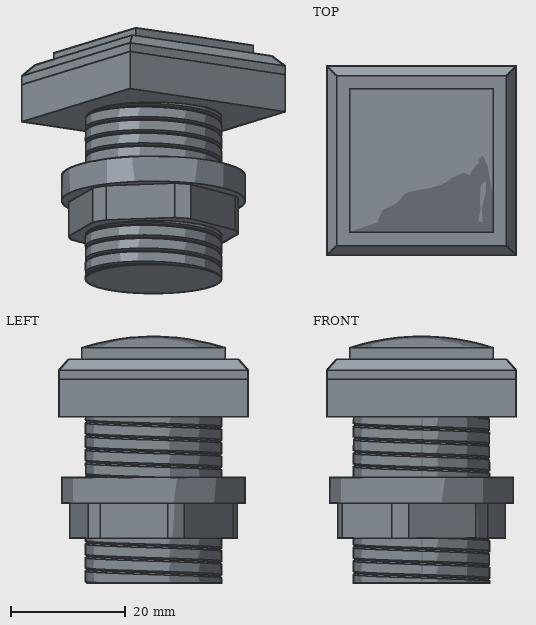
import cadquery as cq
import math

SHANK_LENGTH = 28.95
HEAD_BASE_HEIGHT = 6.6
BEZEL_WALL_HEIGHT = 1.55
BEZEL_BEVEL_HEIGHT = 1.9
BUTTON_WALL_HEIGHT = 2.0
BUTTON_CROWN_RISE = 2.0
HEAD_BASE_TOP = SHANK_LENGTH + HEAD_BASE_HEIGHT
BEZEL_BEVEL_BOTTOM = HEAD_BASE_TOP + BEZEL_WALL_HEIGHT
BEZEL_TOP = BEZEL_BEVEL_BOTTOM + BEZEL_BEVEL_HEIGHT
BUTTON_WALL_TOP = BEZEL_TOP + BUTTON_WALL_HEIGHT

HEAD_SIDE = 33.0
BEZEL_BEVEL_WIDTH = 1.7
BUTTON_SIDE = 25.0
BUTTON_ROOT_DEPTH = 3.0
CROWN_GRID_INTERVALS = 9
CROWN_DEGREE = 3
CROWN_TOLERANCE = 1e-5

SHANK_RADIUS = 11.85
THREAD_PITCH = 2.345
GROOVE_WIDTH = 0.6
GROOVE_DEPTH = 0.3
GROOVE_OVERCUT = 0.1
GROOVE_START_Z = -1.155
SEAM_ANGLE = -90.0

NUT_BOTTOM = 7.85
NUT_HEX_HEIGHT = 6.1
NUT_FLANGE_HEIGHT = 4.45
NUT_ACROSS_FLATS = 27.0
NUT_CORNER_DIAMETER = 29.6
NUT_FLANGE_DIAMETER = 32.0
NUT_TURN = -44.6


def make_thread_groove():
    """Helical V groove that runs off the shank's free end and up to the head."""
    groove_length = SHANK_LENGTH - GROOVE_START_Z
    helix = cq.Wire.makeHelix(
        THREAD_PITCH, groove_length, SHANK_RADIUS, cq.Vector(0, 0, GROOVE_START_Z), lefthand=True
    )
    mouth_half_width = GROOVE_WIDTH / 2 * (GROOVE_DEPTH + GROOVE_OVERCUT) / GROOVE_DEPTH
    profile = cq.Workplane("XZ").polyline([
        (SHANK_RADIUS - GROOVE_DEPTH, GROOVE_START_Z),
        (SHANK_RADIUS + GROOVE_OVERCUT, GROOVE_START_Z + mouth_half_width),
        (SHANK_RADIUS + GROOVE_OVERCUT, GROOVE_START_Z - mouth_half_width),
    ]).close()
    return profile.sweep(cq.Workplane(obj=helix), isFrenet=True)


def make_housing():
    """Grooved shank with the lower block of the square head on top."""
    shank = cq.Workplane("XY").circle(SHANK_RADIUS).extrude(SHANK_LENGTH)
    shank = shank.cut(make_thread_groove()).rotate((0, 0, 0), (0, 0, 1), SEAM_ANGLE)
    head_base = (
        cq.Workplane("XY", origin=(0, 0, SHANK_LENGTH))
        .rect(HEAD_SIDE, HEAD_SIDE)
        .extrude(HEAD_BASE_HEIGHT)
    )
    return shank.union(head_base)


def crown_point(x_fraction, y_fraction):
    """Point of the crown, with the fractions running from -1 to 1 across the button."""
    rise = BUTTON_CROWN_RISE * (1 - x_fraction**2) * (1 - y_fraction**2)
    return cq.Vector(x_fraction * BUTTON_SIDE / 2, y_fraction * BUTTON_SIDE / 2, BUTTON_WALL_TOP + rise)


def make_button():
    """Square button whose crown is parabolic both ways and level along its four edges."""
    steps = [2 * i / CROWN_GRID_INTERVALS - 1 for i in range(CROWN_GRID_INTERVALS + 1)]
    crown_grid = [[crown_point(x, y) for y in steps] for x in steps]
    crown = cq.Face.makeSplineApprox(
        crown_grid, tol=CROWN_TOLERANCE, minDeg=CROWN_DEGREE, maxDeg=CROWN_DEGREE
    )
    depth = BUTTON_WALL_HEIGHT + BUTTON_ROOT_DEPTH
    return cq.Workplane(obj=cq.Solid.extrudeLinear(crown, cq.Vector(0, 0, -depth)))


def make_cap():
    """Bevelled bezel carrying the raised button with its domed crown."""
    bezel = (
        cq.Workplane("XY", origin=(0, 0, HEAD_BASE_TOP))
        .rect(HEAD_SIDE, HEAD_SIDE)
        .extrude(BEZEL_TOP - HEAD_BASE_TOP)
        .faces(">Z")
        .chamfer(BEZEL_BEVEL_HEIGHT, BEZEL_BEVEL_WIDTH)
    )
    return bezel.union(make_button())


def make_nut():
    """Hex nut with corners turned down to a cylinder, a round flange and a plain bore."""
    hex_circumdiameter = NUT_ACROSS_FLATS / math.cos(math.pi / 6)
    hex_prism = (
        cq.Workplane("XY", origin=(0, 0, NUT_BOTTOM))
        .polygon(6, hex_circumdiameter)
        .extrude(NUT_HEX_HEIGHT)
    )
    corner_limit = (
        cq.Workplane("XY", origin=(0, 0, NUT_BOTTOM))
        .circle(NUT_CORNER_DIAMETER / 2)
        .extrude(NUT_HEX_HEIGHT)
    )
    flange = (
        cq.Workplane("XY", origin=(0, 0, NUT_BOTTOM + NUT_HEX_HEIGHT))
        .circle(NUT_FLANGE_DIAMETER / 2)
        .extrude(NUT_FLANGE_HEIGHT)
    )
    bore = (
        cq.Workplane("XY", origin=(0, 0, NUT_BOTTOM))
        .circle(SHANK_RADIUS)
        .extrude(NUT_HEX_HEIGHT + NUT_FLANGE_HEIGHT)
    )
    nut = hex_prism.intersect(corner_limit).union(flange).cut(bore)
    return nut.rotate((0, 0, 0), (0, 0, 1), NUT_TURN)


housing = make_housing()
cap = make_cap()
nut = make_nut()

result = cq.Compound.makeCompound([
    housing.solids().val(),
    cap.solids().val(),
    nut.solids().val(),
])